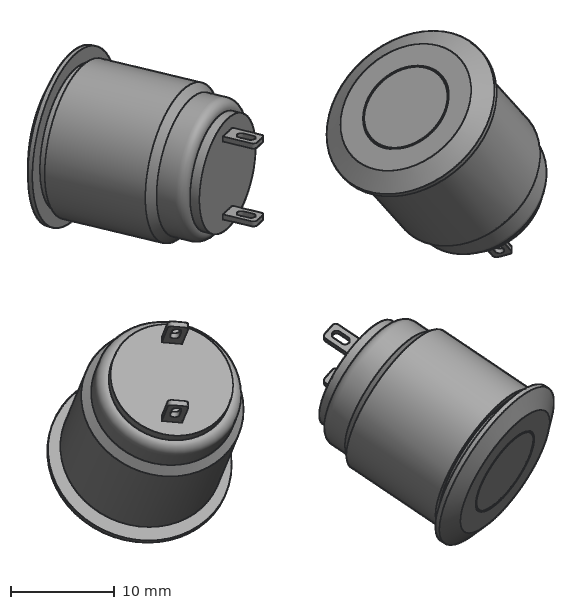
import cadquery as cq

FLANGE_DIAMETER = 18.0
FACE_DIAMETER = 14.0
NECK_DIAMETER = 14.8
BODY_DIAMETER = 15.9
REAR_DIAMETER = 14.3
BACK_BOSS_DIAMETER = 12.0

FLANGE_CONE_LENGTH = 1.0
FLANGE_RIM_LENGTH = 0.5
NECK_LENGTH = 0.8
BODY_LENGTH = 10.85
BODY_TAPER_LENGTH = (BODY_DIAMETER - REAR_DIAMETER) / 2
REAR_LENGTH = 3.03
REAR_FILLET = 0.99
BACK_BOSS_LENGTH = 1.0

BUTTON_DIAMETER = 9.2
BUTTON_CHAMFER = 0.15

OVERALL_LENGTH = 21.5
TAB_WIDTH = 2.0
TAB_THICKNESS = 0.55
TAB_OFFSET = 4.25
TAB_CORNER_RADIUS = 0.4
SLOT_LENGTH = 1.94
SLOT_WIDTH = 0.9
SLOT_TO_TIP = 0.52

rim_start = FLANGE_CONE_LENGTH
rim_end = rim_start + FLANGE_RIM_LENGTH
body_start = rim_end + NECK_LENGTH
taper_start = body_start + BODY_LENGTH
rear_start = taper_start + BODY_TAPER_LENGTH
rear_end = rear_start + REAR_LENGTH
back_end = rear_end + BACK_BOSS_LENGTH


def cylinder(diameter, start, end):
    return cq.Workplane("YZ", origin=(start, 0, 0)).circle(diameter / 2).extrude(end - start)


def make_flange():
    profile = (
        cq.Workplane("XY")
        .moveTo(0, 0)
        .lineTo(0, FACE_DIAMETER / 2)
        .lineTo(rim_start, FLANGE_DIAMETER / 2)
        .lineTo(rim_end, FLANGE_DIAMETER / 2)
        .lineTo(rim_end, 0)
        .close()
    )
    return profile.revolve(360, (0, 0, 0), (1, 0, 0))


def make_housing():
    neck = cylinder(NECK_DIAMETER, rim_end, body_start)
    body = cylinder(BODY_DIAMETER, body_start, rear_start).faces(">X").chamfer(BODY_TAPER_LENGTH)
    rear = cylinder(REAR_DIAMETER, rear_start, rear_end).faces(">X").edges().fillet(REAR_FILLET)
    back_boss = cylinder(BACK_BOSS_DIAMETER, rear_end, back_end)
    return neck.union(body).union(rear).union(back_boss)


def make_button_groove():
    outside = cylinder(BUTTON_DIAMETER, 0, BUTTON_CHAMFER)
    button_edge = (
        cq.Workplane("YZ")
        .circle(BUTTON_DIAMETER / 2 - BUTTON_CHAMFER)
        .workplane(offset=BUTTON_CHAMFER)
        .circle(BUTTON_DIAMETER / 2)
        .loft()
    )
    return outside.cut(button_edge)


def make_tab(z_center):
    length = OVERALL_LENGTH - back_end
    slot_center = OVERALL_LENGTH - SLOT_TO_TIP - SLOT_LENGTH / 2
    base = z_center - TAB_THICKNESS / 2
    plate = (
        cq.Workplane("XY", origin=(back_end + length / 2, 0, base))
        .rect(length, TAB_WIDTH)
        .extrude(TAB_THICKNESS)
        .edges("|Z and >X")
        .fillet(TAB_CORNER_RADIUS)
    )
    slot = (
        cq.Workplane("XY", origin=(slot_center, 0, base))
        .slot2D(SLOT_LENGTH, SLOT_WIDTH)
        .extrude(TAB_THICKNESS)
    )
    return plate.cut(slot)


result = make_flange().union(make_housing()).cut(make_button_groove())
for side in (-1, 1):
    result = result.union(make_tab(side * TAB_OFFSET))